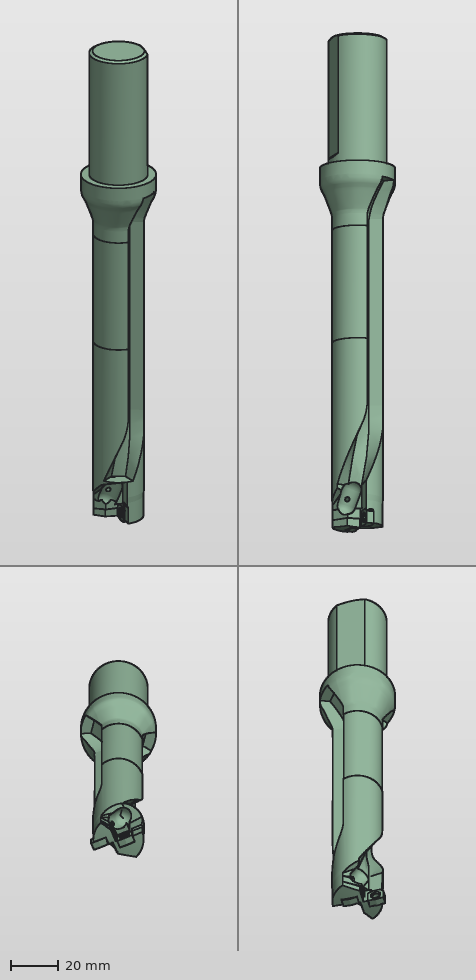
import cadquery as cq
import math


total_length = 213.0
shank_radius = 25.0 / 2
shank_chamfer_width = 1.5
shank_chamfer_height = 0.9
flange_radius = 32.0 / 2
flange_top_z = 156.8
flange_bottom_z = 151.0
bowl_points = [(11.5, 138.2), (12.5, 141.0), (14.5, 146.0)]
neck_radius = 10.9
neck_top_z = 135.0
neck_bottom_z = 129.7
drill_relief = 0.06
drill_radius = neck_radius - drill_relief
head_top_z = 81.0
head_radius = neck_radius
head_taper_top_z = 13.5
head_taper_bottom_z = 10.9
tip_radius = 10.6
tip_rim_z = 1.3
tip_centre_z = 0.5

flat_y = 10.9
flat_bottom_z = 161.5
flat_run_out = 1.3

flute_angle = 217.0
flute_floor = 3.8
flute_floor_half_width = 3.0
flute_wall_splay = 0.63
flute_reach = 25.5
flute_top_z = 134.8
run_out_top_z = 150.5
run_out_wall_splay = 0.3
run_out_shift = 7.5
run_out_curve = 1.5
run_out_steps = 3
helix_ease = 10.6
helix_rate = 2.441
helix_sections = 16
outer_helix_start_z = 54.0
outer_helix_end_z = 18.5
inner_helix_start_z = 49.2
inner_helix_end_z = 20.5

gash_top_z = 20.5
gash_step_z = 8.5
gash_heel_z = 4.3
gash_heel_step = 0.6
gash_slope_top = (5.5, 18.5)
gash_land = (-4.0, 10.5)
gash_land_y = -10.0
gash_corner_y = -5.5
inner_gash_corner_x = -1.3
outer_gash_corner_x = 2.5
gash_shelf_x = 5.1
gash_shelf_y = -6.4

relief_depth = 0.6
relief_top_z = 9.5
relief_floor_z = 8.3

scoop_radius = 4.0
scoop_upper = (4.3, -4.0, 16.5)
scoop_lower = (2.1, -6.0, 9.8)
coolant_diameter = 1.83
coolant_y = -4.3
coolant_z = 13.2
coolant_end_x = -5.5

insert_width = 6.8
insert_height = 6.8
insert_thickness = 3.2
insert_corner = 1.3
insert_edge_drop = 0.5
insert_hole_diameter = 3.2
insert_sink_diameter = 4.3
insert_screw_diameter = 2.5
insert_screw_depth = 1.0
inner_insert_x = 2.8
inner_insert_z = 0.0
outer_insert_x = 7.9
outer_insert_z = 0.5

cut_margin = 4.3


def half_turn(shape):
    return shape.rotate((0, 0, 0), (0, 0, 1), 180)


def make_turned_body():
    return (
        cq.Workplane("XZ")
        .moveTo(0, tip_centre_z)
        .lineTo(tip_radius, tip_rim_z)
        .lineTo(tip_radius, head_taper_bottom_z)
        .lineTo(head_radius, head_taper_top_z)
        .lineTo(head_radius, head_top_z)
        .lineTo(drill_radius, head_top_z)
        .lineTo(drill_radius, neck_bottom_z)
        .lineTo(neck_radius, neck_bottom_z)
        .lineTo(neck_radius, neck_top_z)
        .spline(
            bowl_points + [(flange_radius, flange_bottom_z)],
            tangents=[(0, 1), (0, 1)],
            includeCurrent=True,
        )
        .lineTo(flange_radius, flange_top_z)
        .lineTo(shank_radius, flange_top_z)
        .lineTo(shank_radius, total_length - shank_chamfer_height)
        .lineTo(shank_radius - shank_chamfer_width, total_length)
        .lineTo(0, total_length)
        .close()
        .revolve(360, (0, 0), (0, 1))
    )


def make_flat_cutter():
    outside = shank_radius + cut_margin
    rise_y = flat_y + flat_run_out
    return (
        cq.Workplane("YZ")
        .moveTo(flat_y, flat_bottom_z)
        .lineTo(flat_y, total_length + cut_margin)
        .lineTo(outside, total_length + cut_margin)
        .lineTo(outside, flat_bottom_z - flat_run_out)
        .lineTo(rise_y, flat_bottom_z - flat_run_out)
        .close()
        .extrude(outside, both=True)
    )


def flute_section(angle, z, shift=0.0, wall_splay=flute_wall_splay):
    """Closed trapezoid that opens outward in the direction `angle`, in degrees."""
    floor = flute_floor + shift
    mouth = flute_reach + shift
    mouth_half_width = flute_floor_half_width + wall_splay * (mouth - floor)
    corners = [
        (floor, -flute_floor_half_width),
        (mouth, -mouth_half_width),
        (mouth, mouth_half_width),
        (floor, flute_floor_half_width),
    ]
    turn = math.radians(angle)
    points = [
        cq.Vector(u * math.cos(turn) - v * math.sin(turn), u * math.sin(turn) + v * math.cos(turn), z)
        for u, v in corners
    ]
    return cq.Wire.makePolygon(points, close=True)


def helix_twist(drop):
    """Twist in degrees at a distance `drop` below the start of the helix."""
    if drop < helix_ease:
        return helix_rate * drop**2 / (2 * helix_ease)
    return helix_rate * (drop - helix_ease / 2)


def make_flute_cutters(angle, start_z, end_z):
    straight = cq.Solid.makeLoft([flute_section(angle, start_z), flute_section(angle, flute_top_z)], True)

    drops = [(start_z - end_z) * i / helix_sections for i in range(helix_sections + 1)]
    helix = cq.Solid.makeLoft([flute_section(angle - helix_twist(d), start_z - d) for d in drops])

    run_out_sections = []
    for i in range(run_out_steps + 1):
        rise = i / run_out_steps
        z = flute_top_z + (run_out_top_z - flute_top_z) * rise
        splay = flute_wall_splay + (run_out_wall_splay - flute_wall_splay) * rise
        run_out_sections.append(flute_section(angle, z, run_out_shift * rise**run_out_curve, splay))
    run_out = cq.Solid.makeLoft(run_out_sections)
    return [straight, helix, run_out]


def make_gash_cutter(corner_x):
    outside = head_radius + cut_margin
    land_x, land_z = gash_land
    mouth = [(land_x, gash_land_y), (land_x, -outside), (outside, -outside), (outside, 0)]
    step_corner_x = corner_x + gash_heel_step
    levels = [
        (-cut_margin, gash_heel_z, corner_x, gash_corner_y),
        (gash_heel_z, gash_step_z, step_corner_x, gash_corner_y),
        (gash_step_z, gash_top_z, gash_shelf_x, gash_shelf_y),
    ]
    plan = cq.Workplane("XY")
    for bottom_z, top_z, wall_x, wall_y in levels:
        level = (
            cq.Workplane("XY", origin=(0, 0, bottom_z))
            .polyline([(wall_x, 0), (wall_x, wall_y)] + mouth)
            .close()
            .extrude(top_z - bottom_z)
        )
        plan = plan.union(level)
    side = (
        cq.Workplane("XZ")
        .polyline(
            [
                (land_x, -cut_margin),
                gash_land,
                gash_slope_top,
                (head_radius, gash_top_z),
                (outside, gash_top_z),
                (outside, -cut_margin),
            ]
        )
        .close()
        .extrude(outside)
    )
    return plan.intersect(side)


def make_relief_cutter():
    """Shallow recess beside the inner insert, with a sloping upper edge."""
    start_x = inner_insert_x + insert_width / 2
    return (
        cq.Workplane("YZ", origin=(start_x, 0, 0))
        .polyline(
            [
                (-relief_depth, relief_top_z),
                (0, relief_top_z),
                (relief_depth, relief_floor_z),
                (relief_depth, -cut_margin),
                (-relief_depth, -cut_margin),
            ]
        )
        .close()
        .extrude(head_radius)
    )


def make_scoop_cutter():
    """Round-ended groove that guides the chips from the insert into the flute."""
    lower = cq.Vector(*scoop_lower)
    axis = cq.Vector(*scoop_upper) - lower
    groove = cq.Workplane(obj=cq.Solid.makeCylinder(scoop_radius, axis.Length, lower, axis))
    for end in (scoop_lower, scoop_upper):
        groove = groove.union(cq.Workplane("XY").sphere(scoop_radius).translate(end))
    return groove


def make_coolant_cutter():
    return (
        cq.Workplane("YZ", origin=(coolant_end_x, coolant_y, coolant_z))
        .circle(coolant_diameter / 2)
        .extrude(scoop_lower[0] - coolant_end_x)
    )


def make_insert_blank(x, z):
    """Insert without its hole; its lowest point is at (x, z) and its rake face faces -Y."""
    half = insert_width / 2
    return (
        cq.Workplane("XZ", origin=(x, 0, z))
        .polyline(
            [
                (0, 0),
                (half, insert_edge_drop),
                (half, insert_height - insert_corner),
                (half - insert_corner, insert_height),
                (insert_corner - half, insert_height),
                (-half, insert_height - insert_corner),
                (-half, insert_edge_drop),
            ]
        )
        .close()
        .extrude(-insert_thickness)
    )


def make_insert_hole(x, z):
    hole_z = z + insert_height / 2
    sink_depth = (insert_sink_diameter - insert_hole_diameter) / 2
    rake = cq.Workplane("XZ", origin=(x, 0, hole_z))
    hole = rake.circle(insert_hole_diameter / 2).extrude(-insert_thickness)
    sink = cq.Solid.makeCone(
        insert_sink_diameter / 2,
        insert_hole_diameter / 2,
        sink_depth,
        cq.Vector(x, 0, hole_z),
        cq.Vector(0, 1, 0),
    )
    return hole.union(cq.Workplane(obj=sink))


def make_insert(x, z):
    return make_insert_blank(x, z).cut(make_insert_hole(x, z))


def make_seat_cutter(x, z):
    """Pocket for the insert with the blind screw hole behind it."""
    screw = (
        cq.Workplane("XZ", origin=(x, 0, z + insert_height / 2))
        .circle(insert_screw_diameter / 2)
        .extrude(-(insert_thickness + insert_screw_depth))
    )
    return make_insert_blank(x, z).union(screw)


def make_drill():
    drill = make_turned_body().cut(make_flat_cutter())
    flutes = make_flute_cutters(flute_angle, outer_helix_start_z, outer_helix_end_z)
    flutes += make_flute_cutters(flute_angle + 180, inner_helix_start_z, inner_helix_end_z)
    for flute in flutes:
        drill = drill.cut(cq.Workplane(obj=flute))

    tail_angle = flute_angle - helix_twist(outer_helix_start_z - outer_helix_end_z)
    tail_ends = [flute_section(tail_angle, z) for z in (gash_step_z, outer_helix_end_z)]
    drill = drill.cut(cq.Workplane(obj=cq.Solid.makeLoft(tail_ends, True)))

    drill = drill.cut(make_relief_cutter())
    drill = drill.cut(make_gash_cutter(inner_gash_corner_x))
    drill = drill.cut(half_turn(make_gash_cutter(outer_gash_corner_x)))
    for cutter in (make_scoop_cutter(), make_coolant_cutter()):
        drill = drill.cut(cutter).cut(half_turn(cutter))

    drill = drill.cut(make_seat_cutter(inner_insert_x, inner_insert_z))
    return drill.cut(half_turn(make_seat_cutter(outer_insert_x, outer_insert_z)))


drill = make_drill()
inner_insert = make_insert(inner_insert_x, inner_insert_z)
outer_insert = half_turn(make_insert(outer_insert_x, outer_insert_z))

result = cq.Compound.makeCompound([drill.val(), inner_insert.val(), outer_insert.val()])